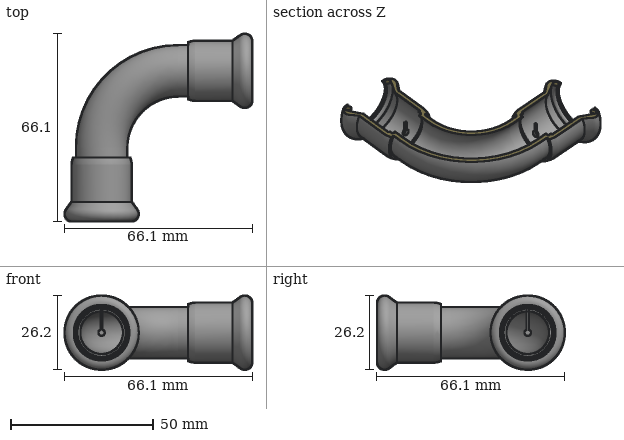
import cadquery as cq
import math

OVERALL = 66.1
BEAD_DIAMETER = 26.2
MOUTH_DISTANCE = OVERALL - BEAD_DIAMETER / 2
BEND_START_DEPTH = 26.05
BEND_RADIUS = MOUTH_DISTANCE - BEND_START_DEPTH

BEAD_ROUND_RADIUS = 2.7
BEAD_CENTER_RADIUS = BEAD_DIAMETER / 2 - BEAD_ROUND_RADIUS
SOCKET_RADIUS = 21.3 / 2
BEAD_CONE_DEPTH = 7.0
NECK_START_DEPTH = 20.0
NECK_END_DEPTH = 22.6
NECK_END_RADIUS = 10.05
NECK_BULGE = 0.1
TUBE_RADIUS = 18.2 / 2

LIP_RADIUS = 9.8
LIP_THICKNESS = 0.65
ENTRY_RADIUS = 18.8 / 2
ENTRY_DEPTH = 6.35
BORE_RADIUS = 18.0 / 2
BORE_START_DEPTH = 7.15
SHOULDER_DEPTH = 20.0
RECESS_RADIUS = 17.0 / 2
RECESS_LENGTH = 1.3
TUBE_BORE_RADIUS = 15.0 / 2

SEAL_INNER_RADIUS = 9.65
SEAL_ROUND_RADIUS = 1.0
SEAL_CENTER_RADIUS = SEAL_INNER_RADIUS + SEAL_ROUND_RADIUS
SEAL_DEPTH = LIP_THICKNESS + SEAL_ROUND_RADIUS

TAB_WIDTH = 0.8
TAB_THICKNESS = 0.65
TAB_DISC_RADIUS = 1.1
TAB_SETBACK = 0.3
TAB_EMBED = 0.2


def on_circle(center, radius, angle):
    return (center[0] + radius * math.cos(angle), center[1] + radius * math.sin(angle))


def tangent_angle(center, radius, point):
    """Angle on the circle where the line from an outside point touches its outer side."""
    dx = point[0] - center[0]
    dy = point[1] - center[1]
    return math.atan2(dy, dx) - math.acos(radius / math.hypot(dx, dy))


def revolve_profile(profile):
    """Close a (radius, depth) profile and revolve it about the socket axis."""
    return profile.close().revolve(360, (0, 0, 0), (0, 1, 0))


def socket_outside():
    center = (BEAD_CENTER_RADIUS, BEAD_ROUND_RADIUS)
    cone_end = (SOCKET_RADIUS, BEAD_CONE_DEPTH)
    touch = tangent_angle(center, BEAD_ROUND_RADIUS, cone_end)
    neck_middle = (
        (SOCKET_RADIUS + NECK_END_RADIUS) / 2 + NECK_BULGE,
        (NECK_START_DEPTH + NECK_END_DEPTH) / 2,
    )
    profile = (
        cq.Workplane("XY")
        .lineTo(BEAD_CENTER_RADIUS, 0)
        .threePointArc(
            on_circle(center, BEAD_ROUND_RADIUS, (touch - math.pi / 2) / 2),
            on_circle(center, BEAD_ROUND_RADIUS, touch),
        )
        .lineTo(*cone_end)
        .lineTo(SOCKET_RADIUS, NECK_START_DEPTH)
        .threePointArc(neck_middle, (NECK_END_RADIUS, NECK_END_DEPTH))
        .lineTo(TUBE_RADIUS, NECK_END_DEPTH)
        .lineTo(TUBE_RADIUS, BEND_START_DEPTH)
        .lineTo(0, BEND_START_DEPTH)
    )
    return revolve_profile(profile)


def socket_cavity():
    center = (SEAL_CENTER_RADIUS, SEAL_DEPTH)
    cone_end = (ENTRY_RADIUS, ENTRY_DEPTH)
    touch = tangent_angle(center, SEAL_ROUND_RADIUS, cone_end)
    recess_end = SHOULDER_DEPTH + RECESS_LENGTH
    profile = (
        cq.Workplane("XY")
        .lineTo(LIP_RADIUS, 0)
        .lineTo(LIP_RADIUS, LIP_THICKNESS)
        .lineTo(SEAL_CENTER_RADIUS, LIP_THICKNESS)
        .threePointArc(
            on_circle(center, SEAL_ROUND_RADIUS, (touch - math.pi / 2) / 2),
            on_circle(center, SEAL_ROUND_RADIUS, touch),
        )
        .lineTo(*cone_end)
        .lineTo(BORE_RADIUS, BORE_START_DEPTH)
        .lineTo(BORE_RADIUS, SHOULDER_DEPTH)
        .lineTo(RECESS_RADIUS, SHOULDER_DEPTH)
        .lineTo(RECESS_RADIUS, recess_end)
        .lineTo(TUBE_BORE_RADIUS, recess_end)
        .lineTo(TUBE_BORE_RADIUS, BEND_START_DEPTH)
        .lineTo(0, BEND_START_DEPTH)
    )
    return revolve_profile(profile)


def stop_tab():
    front = SHOULDER_DEPTH + TAB_SETBACK
    length = RECESS_RADIUS + TAB_EMBED
    plane = cq.Workplane("XZ", origin=(0, front, 0))
    bar = plane.center(0, length / 2).rect(TAB_WIDTH, length).extrude(-TAB_THICKNESS)
    disc = plane.circle(TAB_DISC_RADIUS).extrude(-TAB_THICKNESS)
    return bar.union(disc)


def make_socket():
    return socket_outside().cut(socket_cavity()).union(stop_tab())


def make_seal():
    return (
        cq.Workplane("XY")
        .center(SEAL_CENTER_RADIUS, SEAL_DEPTH)
        .circle(SEAL_ROUND_RADIUS)
        .revolve(360, (-SEAL_CENTER_RADIUS, 0, 0), (-SEAL_CENTER_RADIUS, 1, 0))
    )


def make_bend():
    """Quarter-turn tube from the -Y socket to the +X socket."""
    return (
        cq.Workplane("XZ", origin=(0, -BEND_RADIUS, 0))
        .circle(TUBE_RADIUS)
        .circle(TUBE_BORE_RADIUS)
        .revolve(90, (BEND_RADIUS, 0, 0), (BEND_RADIUS, -1, 0))
    )


def at_both_ends(shape):
    """Place a socket-based shape at the -Y end, and its mirror image at the +X end."""
    first = shape.translate((0, -MOUTH_DISTANCE, 0))
    return [first, first.rotate((0, 0, 0), (0, 0, 1), 90)]


elbow = make_bend()
for socket in at_both_ends(make_socket()):
    elbow = elbow.union(socket)

seals = [seal.val() for seal in at_both_ends(make_seal())]

result = cq.Compound.makeCompound([elbow.val(), *seals])